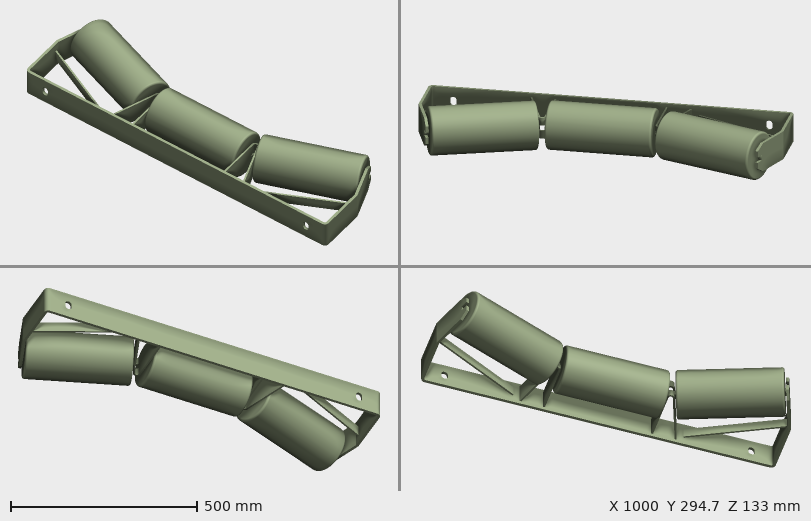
import cadquery as cq
import math

WIDTH = 1000.0
FRAME_PLATE = 8.0
FRAME_DEPTH = 80.0
FRAME_BEND = 9.0
BRACKET_PLATE = 5.0
BRACKET_DEPTH = 60.0
BRACKET_BEND = 8.5
PLATE_RISE = 30.0

TILT = 20.0
DRUM_DIAMETER = 133.0
DRUM_LENGTH = 292.0
DRUM_FILLET = 6.0
CLEAR_SPAN = 300.0
SHAFT_RADIUS = 11.0
SHAFT_FLATS = 15.0
MIDDLE_HEIGHT = 124.0
WING_X = 317.0
WING_Y = 184.0

END_CHAMFER_LENGTH = 27.0
END_CHAMFER_DEPTH = 15.0

HOLE_X = 433.0
HOLE_HEIGHT = 27.0
HOLE_WIDTH = 18.0

BRACE_ANGLE = 25.5
BRACE_PLATE = 5.0
BRACE_DEPTH = 30.0
BRACE_FOOT_X = 242.0

tilt_sin = math.sin(math.radians(TILT))
tilt_cos = math.cos(math.radians(TILT))
tilt_tan = tilt_sin / tilt_cos
half_span = CLEAR_SPAN / 2
frame_offset = half_span + FRAME_PLATE / 2
bracket_offset = half_span + BRACKET_PLATE / 2


def place_on_wing(body):
    """Move a body made around a level roller at the origin to the left wing roller."""
    return body.rotate((0, 0, 0), (0, 0, 1), -TILT).translate((-WING_X, WING_Y, 0))


def wing_point(along, up):
    """Point in the XY plane, given along and square to the left wing roller axis."""
    return (-WING_X + along * tilt_cos + up * tilt_sin, WING_Y - along * tilt_sin + up * tilt_cos)


def mirrored(body):
    """Copy of a body on the other side of the YZ plane."""
    return body.mirror("YZ")


def bent_strip(corners, thickness, depth, bend):
    """Strip of plate, bent along a path through the middle of its thickness."""
    path = cq.Wire.makePolygon([cq.Vector(x, y, 0) for x, y in corners]).fillet(bend)
    (x0, y0), (x1, y1) = corners[:2]
    start = cq.Plane(origin=(x0, y0, 0), xDir=(0, 0, 1), normal=(x1 - x0, y1 - y0, 0))
    return cq.Workplane(start).rect(depth, thickness).sweep(cq.Workplane(path))


def shaft_bar(start, end):
    """Bar along X from start to end, with a flat on its top and bottom."""
    length = end - start
    bar = cq.Workplane("YZ", origin=(start, 0, 0)).circle(SHAFT_RADIUS).extrude(length)
    flats = cq.Workplane().box(length, 2 * SHAFT_RADIUS, SHAFT_FLATS)
    return bar.intersect(flats.translate(((start + end) / 2, 0, 0)))


def shaft_slot(start, end):
    """Cutter along X from start to end: a seat for the shaft, open towards +Y."""
    seat = shaft_bar(start, end)
    opening = cq.Workplane().box(end - start, 2 * PLATE_RISE, SHAFT_FLATS)
    return seat.union(opening.translate(((start + end) / 2, PLATE_RISE, 0)))


def make_roller(left_plate, right_plate):
    """Level drum with rounded rims, centred on the origin, on a shaft that ends flush with its plates."""
    left_end = cq.Workplane("YZ", origin=(-DRUM_LENGTH / 2, 0, 0))
    drum = left_end.circle(DRUM_DIAMETER / 2).extrude(DRUM_LENGTH).edges().fillet(DRUM_FILLET)
    return drum.union(shaft_bar(-half_span - left_plate, half_span + right_plate))


def make_end_chamfers():
    """Cutters for the two corners at the end of the left side plate."""
    corner = (
        cq.Workplane("YZ", origin=(-frame_offset - FRAME_PLATE, 0, 0))
        .moveTo(PLATE_RISE, FRAME_DEPTH / 2)
        .lineTo(PLATE_RISE, FRAME_DEPTH / 2 - END_CHAMFER_DEPTH)
        .lineTo(PLATE_RISE - END_CHAMFER_LENGTH, FRAME_DEPTH / 2)
        .close()
        .extrude(2 * FRAME_PLATE)
    )
    return place_on_wing(corner.union(corner.mirror("XY")))


def make_frame():
    """Base with two upright side walls that lean in to carry the wing rollers."""
    wall_x = -WIDTH / 2 + FRAME_PLATE / 2
    end = wing_point(-frame_offset, PLATE_RISE)
    knee = (wall_x, end[1] - (end[0] - wall_x) / tilt_tan)
    left = [end, knee, (wall_x, FRAME_PLATE / 2)]
    right = [(-x, y) for x, y in reversed(left)]
    frame = bent_strip(left + right, FRAME_PLATE, FRAME_DEPTH, FRAME_BEND)

    slot = place_on_wing(shaft_slot(-half_span - FRAME_PLATE, -half_span))
    side_cut = slot.union(make_end_chamfers())
    holes = (
        cq.Workplane("XZ")
        .pushPoints([(-HOLE_X, 0), (HOLE_X, 0)])
        .slot2D(HOLE_HEIGHT, HOLE_WIDTH, 90)
        .extrude(-FRAME_PLATE)
    )
    return frame.cut(side_cut).cut(mirrored(side_cut)).cut(holes)


def make_bracket():
    """Left inverted V between the left wing roller and the middle roller."""
    leg_x = -bracket_offset
    wing_side = wing_point(bracket_offset, 0)
    peak_y = wing_side[1] + (leg_x - wing_side[0]) / tilt_tan
    foot_x = wing_side[0] - wing_side[1] * tilt_tan
    corners = [(foot_x, 0), (leg_x, peak_y), (leg_x, 0)]
    bracket = bent_strip(corners, BRACKET_PLATE, BRACKET_DEPTH, BRACKET_BEND)
    below_base = cq.Workplane().box(WIDTH, 2 * FRAME_PLATE, BRACKET_DEPTH)

    reach = half_span + 2 * BRACKET_BEND + BRACKET_PLATE
    middle_slot = shaft_slot(-reach, -half_span).translate((0, MIDDLE_HEIGHT, 0))
    wing_slot = place_on_wing(shaft_slot(half_span, reach))
    return bracket.cut(below_base).cut(middle_slot).cut(wing_slot)


def make_brace():
    """Left flat brace from the base to the side wall."""
    slope = math.radians(BRACE_ANGLE)
    wall_x = -WIDTH / 2 + FRAME_PLATE
    foot = (-BRACE_FOOT_X, FRAME_PLATE)
    toe = (foot[0] + BRACE_PLATE * math.sin(slope), foot[1] + BRACE_PLATE * math.cos(slope))
    outline = [
        foot,
        toe,
        (wall_x, toe[1] + (toe[0] - wall_x) * math.tan(slope)),
        (wall_x, foot[1] + (foot[0] - wall_x) * math.tan(slope)),
    ]
    lower_side = cq.Workplane(origin=(0, 0, -BRACE_DEPTH / 2))
    return lower_side.polyline(outline).close().extrude(BRACE_DEPTH)


frame = make_frame()
middle_roller = make_roller(BRACKET_PLATE, BRACKET_PLATE).translate((0, MIDDLE_HEIGHT, 0))
wing_roller = place_on_wing(make_roller(FRAME_PLATE, BRACKET_PLATE))
bodies = [*frame.solids().vals(), *middle_roller.solids().vals()]
for left_body in (wing_roller, make_bracket(), make_brace()):
    for body in (left_body, mirrored(left_body)):
        bodies += body.solids().vals()

result = cq.Compound.makeCompound(bodies)